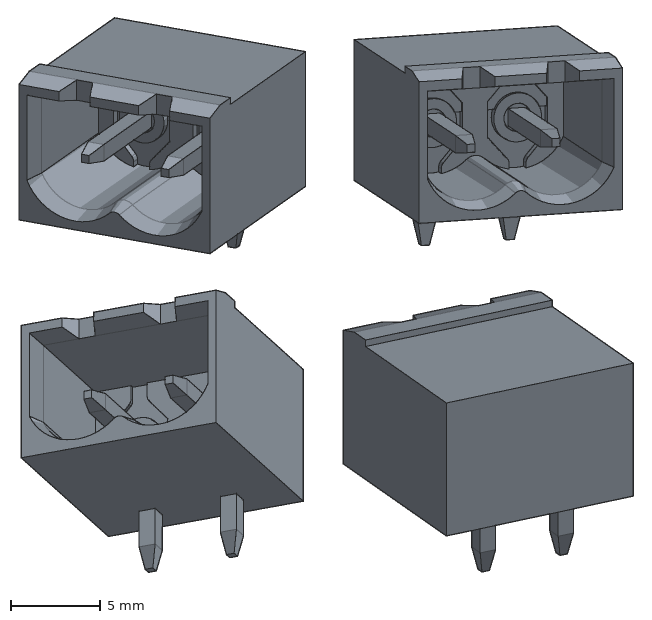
import cadquery as cq
import math


HOUSING_WIDTH = 12.0
HOUSING_DEPTH = 12.0
OVERALL_HEIGHT = 12.0
HOUSING_TOP = 8.5
LIP_STEP = 0.4
LIP_DEPTH = 2.6
LIP_SLOPE_DEPTH = 1.3
LIP_SLOPE_DROP = 0.36

PIN_PITCH = 5.0
PIN_XS = (-PIN_PITCH / 2, PIN_PITCH / 2)
PIN_SIZE = 1.0
PIN_TIP_SIZE = 0.48
PIN_TAPER = 1.32
PIN_AXIS_Z = 3.8
PIN_FRONT_Y = 1.35
PIN_BOTTOM_Z = HOUSING_TOP - OVERALL_HEIGHT
PIN_LEG_SETBACK = 2.0
PIN_LEG_Y = HOUSING_DEPTH - PIN_LEG_SETBACK

RIM_WALL = 0.5
LEAD_IN = 0.3
LEAD_IN_DEPTH = 1.26
RIM_TOP = 7.57
LOBE_RADIUS = 2.98
CREST_RADIUS = 0.77
CAVITY_DEPTH = 8.4

NOTCH_MOUTH = 1.95

RECESS_HALF_WIDTH = 1.76
RECESS_HALF_FLAT = 1.03
RECESS_HALF_FLARE = 2.46
RECESS_NECK_RADIUS = 0.48
RECESS_UPPER_DEPTH = 0.24
RECESS_LOWER_DEPTH = 0.48
COLLAR_RADIUS = 1.4
COLLAR_BORE_RADIUS = 0.8
COLLAR_BORE_DEPTH = 0.24
SELECT_MARGIN = 0.12


def upright_plane(y):
    """Sketch plane in X and Z at depth y; negative extrusions run toward +Y, into the housing."""
    return cq.Workplane("XZ", origin=(0, y, 0))


def make_block():
    """Housing outline in the YZ plane, with the raised lip and its front slope."""
    body_top = HOUSING_TOP - LIP_STEP
    outline = [
        (0, 0),
        (0, HOUSING_TOP - LIP_SLOPE_DROP),
        (LIP_SLOPE_DEPTH, HOUSING_TOP),
        (LIP_DEPTH, HOUSING_TOP),
        (LIP_DEPTH, body_top),
        (HOUSING_DEPTH, body_top),
        (HOUSING_DEPTH, 0),
    ]
    return cq.Workplane("YZ").polyline(outline).close().extrude(HOUSING_WIDTH / 2, both=True)


def cavity_section(plane, growth):
    """Cavity outline, with flat top and sides and a two-lobed floor, grown outward all round."""
    lobe_x = PIN_PITCH / 2
    lobe_r = LOBE_RADIUS + growth
    crest_r = CREST_RADIUS - growth
    side_x = HOUSING_WIDTH / 2 - RIM_WALL - LEAD_IN + growth
    top_z = RIM_TOP - LEAD_IN + growth
    side_z = PIN_AXIS_Z - math.sqrt(lobe_r**2 - (side_x - lobe_x)**2)

    center_gap = lobe_r + crest_r
    crest_drop = math.sqrt(center_gap**2 - lobe_x**2)
    crest_top = PIN_AXIS_Z - crest_drop + crest_r
    tangent_x = lobe_x * crest_r / center_gap
    tangent_z = PIN_AXIS_Z - crest_drop * lobe_r / center_gap
    lobe_bottom = PIN_AXIS_Z - lobe_r

    return (
        plane.moveTo(-side_x, top_z)
        .lineTo(side_x, top_z)
        .lineTo(side_x, side_z)
        .threePointArc((lobe_x, lobe_bottom), (tangent_x, tangent_z))
        .threePointArc((0, crest_top), (-tangent_x, tangent_z))
        .threePointArc((-lobe_x, lobe_bottom), (-side_x, side_z))
        .close()
    )


def make_cavity():
    """Straight cavity joined to the bevelled lead-in at the mating face."""
    straight = cavity_section(upright_plane(0), 0).extrude(-CAVITY_DEPTH)
    mouth = cavity_section(upright_plane(0), LEAD_IN).val()
    throat = cavity_section(upright_plane(LEAD_IN_DEPTH), 0).val()
    lead_in = cq.Workplane(cq.Solid.makeLoft([mouth, throat], True))
    return straight.union(lead_in)


def make_lip_notch(x):
    """Tapered notch through the lip above one pin, narrowing to the pin width."""
    outline = [
        (x - NOTCH_MOUTH / 2, 0),
        (x + NOTCH_MOUTH / 2, 0),
        (x + PIN_SIZE / 2, LEAD_IN_DEPTH),
        (x - PIN_SIZE / 2, LEAD_IN_DEPTH),
    ]
    bottom_z = RIM_TOP - 2 * LEAD_IN
    notch = cq.Workplane("XY", origin=(0, 0, bottom_z)).polyline(outline).close()
    return notch.extrude(HOUSING_TOP - bottom_z)


def make_wall_recess(x):
    """Octagonal recess with narrow necks, stepped at the pin top, leaving a bored collar around the pin."""
    neck = PIN_SIZE / 2
    wide = RECESS_HALF_WIDTH
    reach = HOUSING_TOP
    right_side = [
        (neck, reach),
        (neck, RECESS_HALF_FLARE),
        (wide, RECESS_HALF_FLAT),
        (wide, -RECESS_HALF_FLAT),
        (neck, -RECESS_HALF_FLARE),
        (neck, -reach),
    ]
    left_side = [(-px, pz) for px, pz in reversed(right_side)]
    pin_center = upright_plane(CAVITY_DEPTH).center(x, PIN_AXIS_Z)
    recess = pin_center.polyline(right_side + left_side).close().extrude(-RECESS_LOWER_DEPTH)
    corner_z = RECESS_HALF_FLARE + SELECT_MARGIN
    corner_x = neck + SELECT_MARGIN
    neck_corners = cq.selectors.BoxSelector(
        (x - corner_x, 0, PIN_AXIS_Z - corner_z),
        (x + corner_x, HOUSING_DEPTH, PIN_AXIS_Z + corner_z),
    )
    recess = recess.edges("|Y").edges(neck_corners).fillet(RECESS_NECK_RADIUS)

    trim = cavity_section(upright_plane(CAVITY_DEPTH), 0).extrude(-RECESS_LOWER_DEPTH)
    recess = recess.intersect(trim)

    step_depth = RECESS_LOWER_DEPTH - RECESS_UPPER_DEPTH
    step_origin = (x, CAVITY_DEPTH + RECESS_UPPER_DEPTH, PIN_AXIS_Z + PIN_SIZE / 2)
    upper_step = cq.Workplane("XY", origin=step_origin).box(
        2 * wide, step_depth, HOUSING_TOP, centered=(True, False, False)
    )
    collar = pin_center.circle(COLLAR_RADIUS).extrude(-RECESS_LOWER_DEPTH)
    bore = pin_center.circle(COLLAR_BORE_RADIUS).extrude(-COLLAR_BORE_DEPTH)
    return recess.cut(upper_step).cut(collar).union(bore)


def make_tip(plane):
    """Tapered pin end, from the full square section down to the small end face."""
    return (
        plane.rect(PIN_SIZE, PIN_SIZE)
        .workplane(offset=PIN_TAPER)
        .rect(PIN_TIP_SIZE, PIN_TIP_SIZE)
        .loft(ruled=True)
    )


def make_pin(x):
    """Right-angle square pin with a tapered tip on each leg."""
    half = PIN_SIZE / 2
    front = PIN_FRONT_Y + PIN_TAPER
    bottom = PIN_BOTTOM_Z + PIN_TAPER
    bend = [
        (front, PIN_AXIS_Z - half),
        (front, PIN_AXIS_Z + half),
        (PIN_LEG_Y + half, PIN_AXIS_Z + half),
        (PIN_LEG_Y + half, bottom),
        (PIN_LEG_Y - half, bottom),
        (PIN_LEG_Y - half, PIN_AXIS_Z - half),
    ]
    legs = cq.Workplane("YZ", origin=(x, 0, 0)).polyline(bend).close().extrude(half, both=True)
    front_tip = make_tip(cq.Workplane("XZ", origin=(x, front, PIN_AXIS_Z)))
    tail_plane = cq.Workplane("XY", origin=(x, PIN_LEG_Y, bottom)).transformed(rotate=(180, 0, 0))
    bottom_tip = make_tip(tail_plane)
    return legs.union(front_tip).union(bottom_tip)


def make_housing(pins):
    """Housing with its cavity, lip notches, end-wall recesses and matching pin holes."""
    housing = make_block().cut(make_cavity())
    for x in PIN_XS:
        housing = housing.cut(make_lip_notch(x)).cut(make_wall_recess(x))
    for pin in pins:
        housing = housing.cut(pin)
    return housing


pins = [make_pin(x) for x in PIN_XS]
housing = make_housing(pins)

result = cq.Compound.makeCompound([housing.val(), *[pin.val() for pin in pins]])